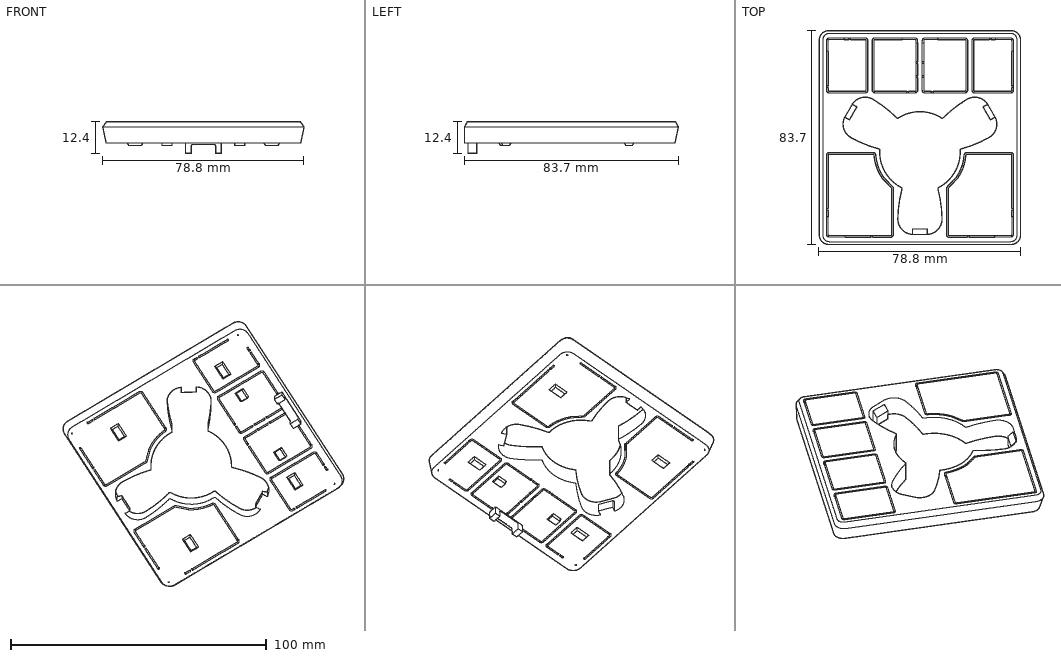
import cadquery as cq
import math

WIDTH = 78.78
LENGTH = 83.65
PLATE_HEIGHT = 8.4
FRONT_EDGE = -36.2
BACK_EDGE = FRONT_EDGE + LENGTH
CORNER_RADIUS = 3.8

RIM_HEIGHT = 2.1
SKIRT_HEIGHT = PLATE_HEIGHT - RIM_HEIGHT
DRAFT_ANGLE = 12.0
DRAFT_INSET = SKIRT_HEIGHT * math.tan(math.radians(DRAFT_ANGLE))
RIM_INSET_X = 1.5
RIM_INSET_Y = 1.1
TOP_CORNER_RADIUS = 2.5

LOBE_ANGLES = (0, 120, 240)
CENTRE_RADIUS = 15.7
LOBE_NECK = (6.4, 12.5)
LOBE_FLANK = (8.1, 20.0)
LOBE_SHOULDER = (8.6, 26.2)
LOBE_CORNER = (6.8, 30.5)
LOBE_END = (3.0, 32.2)
CUSP_RADIUS = 0.5

CATCH_WIDTH = 5.9
CATCH_DEPTH = 2.1
CATCH_FACE_HEIGHT = 4.1
CATCH_ROOT = 1.0

GAP = 0.6
KEY_SIDE_X = -36.5
SMALL_KEY_BACK = 44.5
SMALL_KEY_FRONT = 23.1
OUTER_KEY_INNER_X = -20.4
INNER_KEY_OUTER_X = -18.6
INNER_KEY_INNER_X = -0.9
LARGE_KEY_INNER_X = -10.4
LARGE_KEY_BACK = -0.25
LARGE_KEY_FRONT = -33.3
LARGE_KEY_ARC_RADIUS = 17.35
LARGE_KEY_ARC_END = 215.0
KEY_CORNER_RADIUS = 1.0

BRIDGE_HEIGHT = 1.5
TIE_LENGTH = 0.8
HINGES = (
    ((KEY_SIDE_X, SMALL_KEY_BACK), (-29.5, 39.4)),
    ((INNER_KEY_INNER_X, SMALL_KEY_BACK), (-7.0, 42.5)),
    ((KEY_SIDE_X, LARGE_KEY_FRONT), (-29.2, -25.3)),
)
TIES = (
    (-27.5, SMALL_KEY_BACK),
    (KEY_SIDE_X, 25.5),
    (INNER_KEY_INNER_X, 34.9),
    (INNER_KEY_INNER_X, 29.4),
    (-4.8, SMALL_KEY_FRONT),
    (KEY_SIDE_X, -22.5),
    (-18.9, LARGE_KEY_FRONT),
)

PAD_HEIGHT = 1.0
PAD_TAPER = 0.6
PAD_LENGTH = 3.7
WIDE_PAD_WIDTH = 6.1
WIDE_PAD_X = -26.7
OUTER_KEY_PAD_Y = 31.1
LARGE_KEY_PAD_Y = -16.9
NARROW_PAD_WIDTH = 4.0
INNER_KEY_PAD = (-14.2, 32.1)

FOOT_WIDTH = 14.06
FOOT_HEIGHT = 4.0
FOOT_FRONT = 42.6
FOOT_DEPTH = 3.5
LEG_WIDTH = 2.3
FOOT_WEB = 0.6
FOOT_FILLET = 0.5


def box_between(x_range, y_range, z_range):
    """Box spanning the given coordinate pairs, in either order."""
    sizes = [abs(b - a) for a, b in (x_range, y_range, z_range)]
    corner = (min(x_range), min(y_range), min(z_range))
    return cq.Workplane("XY").box(*sizes, centered=False).translate(corner)


def mirrored(shape):
    """The shape together with its mirror image across the YZ plane."""
    return shape.union(shape.mirror("YZ"))


def rounded_section(half_width, front, back, radius, height):
    """Wire of a rounded rectangle at the given height."""
    corners = [
        cq.Vector(-half_width, front, height),
        cq.Vector(half_width, front, height),
        cq.Vector(half_width, back, height),
        cq.Vector(-half_width, back, height),
    ]
    outline = cq.Wire.makePolygon(corners, close=True)
    return outline.fillet2D(radius, outline.Vertices())


def make_plate():
    half = WIDTH / 2
    bottom = rounded_section(half - DRAFT_INSET, FRONT_EDGE + DRAFT_INSET, BACK_EDGE, CORNER_RADIUS, 0)
    middle = rounded_section(half, FRONT_EDGE, BACK_EDGE, CORNER_RADIUS, SKIRT_HEIGHT)
    top = rounded_section(
        half - RIM_INSET_X,
        FRONT_EDGE + RIM_INSET_Y,
        BACK_EDGE - RIM_INSET_Y,
        TOP_CORNER_RADIUS,
        PLATE_HEIGHT,
    )
    return cq.Workplane(cq.Solid.makeLoft([bottom, middle, top], True))


def make_lobe():
    """Prism of one lobe, pointing along -Y."""
    right = [(x, -r) for x, r in (LOBE_NECK, LOBE_FLANK, LOBE_SHOULDER, LOBE_CORNER, LOBE_END)]
    left = [(-x, y) for x, y in right]
    return (
        cq.Workplane("XY")
        .moveTo(*right[0])
        .threePointArc(right[1], right[2])
        .threePointArc(right[3], right[4])
        .lineTo(*left[4])
        .threePointArc(left[3], left[2])
        .threePointArc(left[1], left[0])
        .close()
        .extrude(PLATE_HEIGHT)
    )


def make_opening():
    opening = cq.Workplane("XY").circle(CENTRE_RADIUS).extrude(PLATE_HEIGHT)
    lobe = make_lobe()
    for angle in LOBE_ANGLES:
        opening = opening.union(lobe.rotate((0, 0, 0), (0, 0, 1), angle))

    def on_centre_circle(edge):
        distance = math.hypot(edge.Center().x, edge.Center().y)
        return abs(distance - CENTRE_RADIUS) < CUSP_RADIUS

    cusps = opening.edges("|Z").filter(on_centre_circle)
    return cusps.fillet(CUSP_RADIUS)


def make_catch():
    """Catch in the lobe that points along -Y, rooted in the plate."""
    wall = -LOBE_END[1]
    tip = wall + CATCH_DEPTH
    return (
        cq.Workplane("YZ")
        .moveTo(wall - CATCH_ROOT, 0)
        .lineTo(tip, 0)
        .lineTo(tip, CATCH_FACE_HEIGHT)
        .lineTo(wall, CATCH_FACE_HEIGHT + CATCH_DEPTH)
        .lineTo(wall - CATCH_ROOT, CATCH_FACE_HEIGHT + CATCH_DEPTH)
        .close()
        .extrude(CATCH_WIDTH / 2, both=True)
    )


def gap_ring(pocket):
    """Gap that follows the inside of the wall of a pocket."""
    outline = pocket.faces("<Z").wires().val()
    key_outline = outline.offset2D(-GAP)[0]
    key = cq.Solid.extrudeLinear(key_outline, [], cq.Vector(0, 0, PLATE_HEIGHT))
    return pocket.cut(cq.Workplane(key))


def small_key_gap(x_range):
    pocket = box_between(x_range, (SMALL_KEY_FRONT, SMALL_KEY_BACK), (0, PLATE_HEIGHT))
    return gap_ring(pocket.edges("|Z").fillet(KEY_CORNER_RADIUS))


def large_key_gap():
    """Gap of the large key, whose inner corner is hollowed around the central opening."""
    radius = LARGE_KEY_ARC_RADIUS

    def on_arc(degrees):
        angle = math.radians(degrees)
        return (radius * math.cos(angle), radius * math.sin(angle))

    arc_start = (-math.sqrt(radius**2 - LARGE_KEY_BACK**2), LARGE_KEY_BACK)
    facet_end = (LARGE_KEY_INNER_X, -math.sqrt(radius**2 - LARGE_KEY_INNER_X**2))
    arc_middle = (180 + LARGE_KEY_ARC_END) / 2
    pocket = (
        cq.Workplane("XY")
        .moveTo(KEY_SIDE_X, LARGE_KEY_BACK)
        .lineTo(*arc_start)
        .threePointArc(on_arc(arc_middle), on_arc(LARGE_KEY_ARC_END))
        .lineTo(*facet_end)
        .lineTo(LARGE_KEY_INNER_X, LARGE_KEY_FRONT)
        .lineTo(KEY_SIDE_X, LARGE_KEY_FRONT)
        .close()
        .extrude(PLATE_HEIGHT)
    )
    square_corners = pocket.edges("|Z and (<X or >X or >Y)")
    return gap_ring(square_corners.fillet(KEY_CORNER_RADIUS))


def make_bridges():
    """Blocks that stay solid where the gaps cross them."""
    levels = (0, BRIDGE_HEIGHT)
    bridges = cq.Workplane("XY")
    for (corner_x, corner_y), (end_x, end_y) in HINGES:
        across_x = (corner_x - GAP, corner_x + GAP)
        across_y = (corner_y - GAP, corner_y + GAP)
        bridges = bridges.union(box_between((corner_x, end_x), across_y, levels))
        bridges = bridges.union(box_between(across_x, (corner_y, end_y), levels))
    for x, y in TIES:
        reach = GAP + TIE_LENGTH
        on_side = x in (KEY_SIDE_X, INNER_KEY_INNER_X)
        half_x = reach if on_side else TIE_LENGTH / 2
        half_y = TIE_LENGTH / 2 if on_side else reach
        bridges = bridges.union(box_between((x - half_x, x + half_x), (y - half_y, y + half_y), levels))
    return bridges


def make_key_gaps():
    gaps = small_key_gap((KEY_SIDE_X, OUTER_KEY_INNER_X))
    gaps = gaps.union(small_key_gap((INNER_KEY_OUTER_X, INNER_KEY_INNER_X)))
    gaps = gaps.union(large_key_gap())
    return mirrored(gaps.cut(make_bridges()))


def make_pad(centre, width, tapered_sides):
    """Pad under a key, narrowing downwards at front and back and, if wanted, at the sides."""
    tip_width = width - 2 * PAD_TAPER if tapered_sides else width
    return (
        cq.Workplane("XY", origin=(*centre, 0))
        .rect(width, PAD_LENGTH)
        .workplane(offset=-PAD_HEIGHT)
        .rect(tip_width, PAD_LENGTH - 2 * PAD_TAPER)
        .loft(ruled=True)
    )


def make_pads():
    pads = make_pad((WIDE_PAD_X, OUTER_KEY_PAD_Y), WIDE_PAD_WIDTH, True)
    pads = pads.union(make_pad((WIDE_PAD_X, LARGE_KEY_PAD_Y), WIDE_PAD_WIDTH, True))
    pads = pads.union(make_pad(INNER_KEY_PAD, NARROW_PAD_WIDTH, False))
    return mirrored(pads)


def make_foot():
    half = FOOT_WIDTH / 2
    back = FOOT_FRONT + FOOT_DEPTH
    foot = box_between((-half, half), (FOOT_FRONT, back), (-FOOT_HEIGHT, 0))
    inner = half - LEG_WIDTH
    notch = box_between((-inner, inner), (FOOT_FRONT, back), (-FOOT_HEIGHT, -FOOT_WEB))
    return foot.cut(notch.edges("|Y and >Z").fillet(FOOT_FILLET))


result = make_plate().cut(make_opening())
catch = make_catch()
for lobe_angle in LOBE_ANGLES:
    result = result.union(catch.rotate((0, 0, 0), (0, 0, 1), lobe_angle))
result = result.cut(make_key_gaps()).union(make_pads()).union(make_foot())